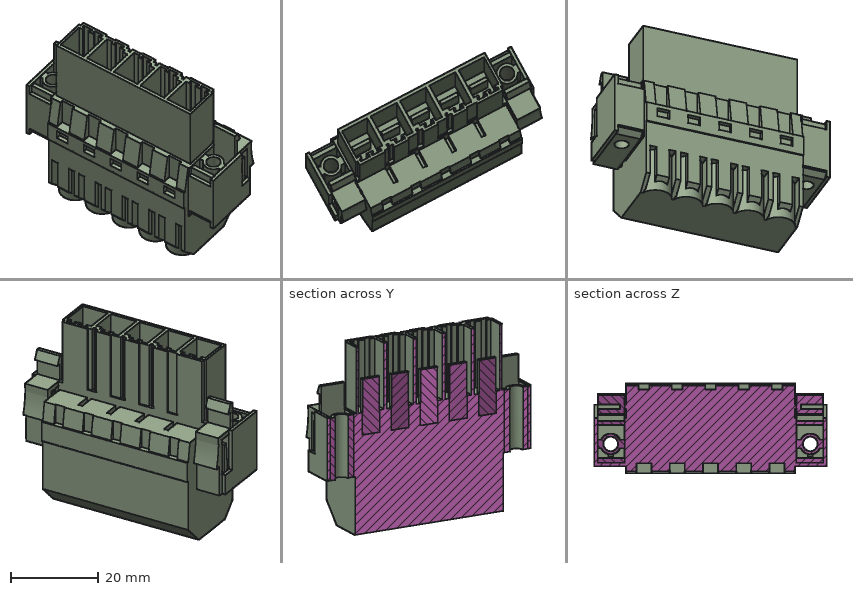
import cadquery as cq


POLE_COUNT = 5
PITCH = 7.65
POLE_X = [(i - (POLE_COUNT - 1) / 2) * PITCH for i in range(POLE_COUNT)]

TOTAL_HEIGHT = 45.0
BODY_TOP = 29.2
BACK_TOP = 27.15
BAND_TOP = 22.4
BAND_BOTTOM = 17.4

BODY_HALF_WIDTH = 19.4
BAND_FRONT = -6.85
BAND_BACK = 13.75
FRONT_FACE = -6.5
BACK_FACE = 13.45
FRONT_TOP_EDGE = -5.25
BACK_TOP_EDGE = 12.65
TAPER_INSET = 0.1
FRONT_CHAMFER = 3.4
BACK_CHAMFER = 4.85

FRONT_POCKET_WIDTH = 3.4
FRONT_POCKET_WALL = -4.55
BACK_POCKET_WIDTH = 2.4
BACK_POCKET_WALL = 12.45
WINDOW_WIDTH = 3.05
WINDOW_BOTTOM = 19.2
WINDOW_TOP = 21.4
WINDOW_DEPTH = 1.05

SLIT_WIDTH = 1.05
SLIT_BACK = 9.9
SLIT_DEPTH = 3.2

FUNNEL_RADIUS = PITCH / 2
FUNNEL_FRONT = -5.6
FUNNEL_Y = FUNNEL_FRONT + FUNNEL_RADIUS
FUNNEL_SLOT_INNER = 1.55
FUNNEL_SLOT_OUTER = 3.2
FUNNEL_SLOT_TOP = 11.0

SHROUD_HALF_WIDTH = 19.1
SHROUD_FRONT = -3.9
SHROUD_BACK = 5.85
STRIP_BACK = 5.5
CORNER_NOTCH_WIDTH = 0.5
CORNER_NOTCH_FLOOR = 4.85
CAVITY_FLOOR = BODY_TOP
CAVITY_FRONT = -3.05
CAVITY_HALF_WIDTH = 3.35
END_CAVITY_HALF_WIDTH = 3.2
LIP_FRONT = 4.2
END_LIP_FRONT = 4.0
RELIEF_BACK = 4.8
RELIEF_EDGE = 1.75
STEP_FRONT = 3.45
STEP_EDGE = 2.0
GROOVE_FLOOR = 5.1
GROOVE_STEP = 2.85
GROOVE_DEEP_FLOOR = 4.5
GROOVE_END = 3.3

T_MOUTH_WIDTH = 1.35
T_HEAD_WIDTH = 2.35
T_HEAD_FRONT = 4.65
T_HEAD_BACK = 5.2
END_T_OFFSET = 1.5

CONTACT_WIDTH = 4.5
CONTACT_THICKNESS = 0.85
CONTACT_Y = 0.25
CONTACT_EMBED = 5.35
CONTACT_RISE = 8.0

FLANGE_OUTER = 26.65
CORE_OUTER = 25.8
CORE_INNER = 19.75
FLANGE_BOTTOM = 14.0
FLANGE_FRONT = FRONT_TOP_EDGE
FLOOR_Z = 19.0
PLATE_BACK = 8.9
WALL_FACE = -4.3
WALL_BACK = -3.3
WALL_TOP = 28.8
COVER_TOP = 26.85
COVER_BOTTOM = 15.65
CLIP_FACE = -5.05
CLIP_CHAMFER = 1.25
BRIDGE_BOTTOM = 28.0
TONGUE_FRONT = 4.2
TONGUE_BACK = 5.2
TONGUE_TOP = 35.5
HOOK_TIP = 6.25
HOOK_BOTTOM = 33.35
LEVER_TOP_EDGE = 10.6
LEVER_NECK = 10.5
LEVER_MIDDLE = (10.7, 24.75)
LEVER_TIP = (11.4, 21.4)
LEVER_BACK = 10.1
STOP_BACK = 7.95
STOP_TOP = 26.2
STOP_FOOT_FRONT = 6.5
STOP_HEAD_FRONT = 7.05
STOP_RIB_WIDTH = 1.05
BORE_X = 22.9
BORE_Y = -0.1
BORE_RADIUS = 1.65
TUBE_RADIUS = 2.4
TUBE_TOP = 29.05
CROSS_RIB_WIDTH = 2.05
KEY_WIDTH = 1.05
KEY_EDGE = -2.9
KEY_HEIGHT = 1.6
KEY_OVERLAP = 0.15
KEY_DROP = 0.25


def box(x0, x1, y0, y1, z0, z1):
    """Block between two opposite corners."""
    return cq.Workplane("XY").box(x1 - x0, y1 - y0, z1 - z0, centered=False).translate((x0, y0, z0))


def centred_box(x, width, y0, y1, z0, z1):
    """Block of the given width, centred on x."""
    return box(x - width / 2, x + width / 2, y0, y1, z0, z1)


def side_prism(points, x0, x1):
    """Prism along X over a closed outline of (Y, Z) points."""
    return cq.Workplane("YZ").polyline(points).close().extrude(x1 - x0).translate((x0, 0, 0))


def contact(x):
    return centred_box(
        x,
        CONTACT_WIDTH,
        CONTACT_Y - CONTACT_THICKNESS / 2,
        CONTACT_Y + CONTACT_THICKNESS / 2,
        CAVITY_FLOOR - CONTACT_EMBED,
        CAVITY_FLOOR + CONTACT_RISE,
    )


def housing_body():
    """Block with tapered upper faces, a raised band and chamfered bottom edges."""
    outline = [
        (FRONT_FACE + FRONT_CHAMFER, 0),
        (FRONT_FACE, FRONT_CHAMFER),
        (FRONT_FACE, BAND_BOTTOM),
        (BAND_FRONT, BAND_BOTTOM),
        (BAND_FRONT, BAND_TOP),
        (FRONT_FACE + TAPER_INSET, BAND_TOP),
        (FRONT_TOP_EDGE, BODY_TOP),
        (SHROUD_BACK, BODY_TOP),
        (SHROUD_BACK, BACK_TOP),
        (BACK_TOP_EDGE, BACK_TOP),
        (BACK_FACE - TAPER_INSET, BAND_TOP),
        (BAND_BACK, BAND_TOP),
        (BAND_BACK, BAND_BOTTOM),
        (BACK_FACE, BAND_BOTTOM),
        (BACK_FACE, BACK_CHAMFER),
        (BACK_FACE - BACK_CHAMFER, 0),
    ]
    return side_prism(outline, -BODY_HALF_WIDTH, BODY_HALF_WIDTH)


def latch_frame():
    """Frame on the +X side that holds a latch: pad, rail, outer plate and front cover."""
    pad = box(BODY_HALF_WIDTH, CORE_INNER, FLANGE_FRONT, SHROUD_BACK, FLANGE_BOTTOM, BODY_TOP)
    rail = box(BODY_HALF_WIDTH, CORE_INNER, STOP_BACK, PLATE_BACK, FLANGE_BOTTOM, BRIDGE_BOTTOM)
    plate = box(CORE_OUTER, FLANGE_OUTER, FLANGE_FRONT, SHROUD_BACK, FLOOR_Z, BODY_TOP)
    plate_foot = box(CORE_OUTER, FLANGE_OUTER, FLANGE_FRONT, PLATE_BACK, FLANGE_BOTTOM, FLOOR_Z)
    cover = box(CORE_INNER, CORE_OUTER, FLANGE_FRONT, WALL_FACE, COVER_BOTTOM, COVER_TOP)
    return pad.union(rail).union(cover).union(plate).union(plate_foot)


def pole_recesses(x):
    """Front and back pockets in the tapers, and the window in the front of the band."""
    front = centred_box(x, FRONT_POCKET_WIDTH, BAND_FRONT, FRONT_POCKET_WALL, BAND_TOP, BODY_TOP)
    back = centred_box(x, BACK_POCKET_WIDTH, BACK_POCKET_WALL, BAND_BACK, BAND_TOP, BACK_TOP)
    window = centred_box(
        x, WINDOW_WIDTH, BAND_FRONT, BAND_FRONT + WINDOW_DEPTH, WINDOW_BOTTOM, WINDOW_TOP
    )
    return front.union(back).union(window)


def slit(x):
    """Slit between two poles in the lower top face behind the shroud."""
    return centred_box(x, SLIT_WIDTH, SHROUD_BACK, SLIT_BACK, BACK_TOP - SLIT_DEPTH, BACK_TOP)


def funnel(x, height):
    return cq.Workplane("XY").center(x, FUNNEL_Y).circle(FUNNEL_RADIUS).extrude(height)


def funnel_slots(x):
    """Two upright slots in the front face that bare the sides of the funnel."""
    slots = centred_box(x, 2 * FUNNEL_SLOT_OUTER, FRONT_FACE, FUNNEL_Y, 0, FUNNEL_SLOT_TOP)
    post = centred_box(x, 2 * FUNNEL_SLOT_INNER, FRONT_FACE, FUNNEL_Y, 0, FUNNEL_SLOT_TOP)
    return slots.cut(post).cut(funnel(x, FUNNEL_SLOT_TOP))


def shroud_cut(x0, x1, y0, y1):
    """Block over the full height of the shroud."""
    return box(x0, x1, y0, y1, BODY_TOP, TOTAL_HEIGHT)


def t_slot(x):
    mouth = shroud_cut(x - T_MOUTH_WIDTH / 2, x + T_MOUTH_WIDTH / 2, CAVITY_FRONT, T_HEAD_FRONT)
    head = shroud_cut(x - T_HEAD_WIDTH / 2, x + T_HEAD_WIDTH / 2, T_HEAD_FRONT, T_HEAD_BACK)
    return mouth.union(head)


def end_cavity():
    """Cavity of the pole at the -X end, centred on X = 0, with two T-slots."""
    lip_edge = -END_T_OFFSET - T_MOUTH_WIDTH / 2
    cavity = shroud_cut(-END_CAVITY_HALF_WIDTH, CAVITY_HALF_WIDTH, CAVITY_FRONT, END_LIP_FRONT)
    cavity = cavity.union(shroud_cut(lip_edge, CAVITY_HALF_WIDTH, CAVITY_FRONT, LIP_FRONT))
    for x in (-END_T_OFFSET, END_T_OFFSET):
        cavity = cavity.union(t_slot(x))
    return cavity


def middle_cavity():
    """Cavity of an inner pole, centred on X = 0, with one T-slot and a stepped back wall."""
    cavity = shroud_cut(-CAVITY_HALF_WIDTH, CAVITY_HALF_WIDTH, CAVITY_FRONT, STEP_FRONT)
    cavity = cavity.union(shroud_cut(-CAVITY_HALF_WIDTH, STEP_EDGE, CAVITY_FRONT, LIP_FRONT))
    cavity = cavity.union(shroud_cut(-CAVITY_HALF_WIDTH, -RELIEF_EDGE, CAVITY_FRONT, RELIEF_BACK))
    return cavity.union(t_slot(0))


def key_groove(x):
    """Stepped groove in the outside of the back wall, beside an inner pole."""
    shallow = shroud_cut(x + STEP_EDGE, x + GROOVE_END, GROOVE_FLOOR, SHROUD_BACK)
    deep = shroud_cut(x + GROOVE_STEP, x + GROOVE_END, GROOVE_DEEP_FLOOR, SHROUD_BACK)
    return shallow.union(deep)


def shroud():
    body = shroud_cut(-SHROUD_HALF_WIDTH, SHROUD_HALF_WIDTH, SHROUD_FRONT, SHROUD_BACK)
    first_x, *inner_x, last_x = POLE_X
    body = body.cut(end_cavity().translate((first_x, 0, 0)))
    body = body.cut(end_cavity().mirror("YZ").translate((last_x, 0, 0)))
    for x in inner_x:
        body = body.cut(middle_cavity().translate((x, 0, 0)))
        body = body.cut(key_groove(x))
    for x, next_x in zip(POLE_X, POLE_X[1:]):
        reach = GROOVE_END if next_x == last_x else RELIEF_EDGE
        body = body.cut(shroud_cut(x + GROOVE_END, next_x - reach, STRIP_BACK, SHROUD_BACK))
    notch_edge = SHROUD_HALF_WIDTH - CORNER_NOTCH_WIDTH
    corner = shroud_cut(notch_edge, SHROUD_HALF_WIDTH, CORNER_NOTCH_FLOOR, SHROUD_BACK)
    return body.cut(corner).cut(corner.mirror("YZ"))


def make_housing():
    body = housing_body()
    for x in POLE_X:
        body = body.cut(pole_recesses(x)).cut(funnel_slots(x))
    for x in POLE_X[:-1]:
        body = body.cut(slit(x + PITCH / 2))
    for x in POLE_X:
        body = body.union(funnel(x, FRONT_CHAMFER))
    body = body.union(latch_frame()).union(latch_frame().mirror("YZ")).union(shroud())
    for x in POLE_X:
        body = body.cut(contact(x))
    return body


def latch_profile():
    """Clip under the front cover, front wall, base, hooked tongue, bridge and curved lever."""
    outline = (
        cq.Workplane("YZ")
        .moveTo(CLIP_FACE + CLIP_CHAMFER, FLANGE_BOTTOM)
        .lineTo(CLIP_FACE, FLANGE_BOTTOM + CLIP_CHAMFER)
        .lineTo(CLIP_FACE, COVER_BOTTOM)
        .lineTo(WALL_FACE, COVER_BOTTOM)
        .lineTo(WALL_FACE, WALL_TOP)
        .lineTo(WALL_BACK, WALL_TOP)
        .lineTo(WALL_BACK, FLOOR_Z)
        .lineTo(TONGUE_FRONT, FLOOR_Z)
        .lineTo(TONGUE_FRONT, TONGUE_TOP)
        .lineTo(TONGUE_BACK, TONGUE_TOP)
        .lineTo(HOOK_TIP, HOOK_BOTTOM)
        .lineTo(TONGUE_BACK, HOOK_BOTTOM)
        .lineTo(TONGUE_BACK, BODY_TOP)
        .lineTo(LEVER_TOP_EDGE, BODY_TOP)
        .lineTo(LEVER_NECK, BACK_TOP)
        .threePointArc(LEVER_MIDDLE, LEVER_TIP)
        .lineTo(LEVER_BACK, LEVER_TIP[1])
        .lineTo(LEVER_BACK, FLANGE_BOTTOM)
        .close()
    )
    body = outline.extrude(CORE_OUTER - CORE_INNER).translate((CORE_INNER, 0, 0))
    return body.cut(box(CORE_INNER, CORE_OUTER, TONGUE_BACK, PLATE_BACK, FLOOR_Z, BRIDGE_BOTTOM))


def lever_stop():
    """Sloped stop under the bridge, with a taller rib at its inner end."""
    outline = [
        (STOP_BACK, FLOOR_Z),
        (STOP_FOOT_FRONT, FLOOR_Z),
        (STOP_HEAD_FRONT, STOP_TOP),
        (STOP_BACK, STOP_TOP),
    ]
    stop = side_prism(outline, CORE_INNER, CORE_OUTER)
    rib = box(
        CORE_INNER, CORE_INNER + STOP_RIB_WIDTH, STOP_HEAD_FRONT, PLATE_BACK, FLOOR_Z, BRIDGE_BOTTOM
    )
    return stop.union(rib)


def screw_tube():
    """Tube for the screw, tied to both sides of the latch by a cross rib."""
    tube = cq.Workplane("XY").workplane(offset=FLOOR_Z).center(BORE_X, BORE_Y).circle(TUBE_RADIUS)
    tube = tube.extrude(TUBE_TOP - FLOOR_Z)
    half_rib = CROSS_RIB_WIDTH / 2
    cross_rib = box(CORE_INNER, CORE_OUTER, BORE_Y - half_rib, BORE_Y + half_rib, FLOOR_Z, TUBE_TOP)
    return tube.union(cross_rib)


def tube_key():
    """Low key on the floor between the tube and the front wall, sloping down to the wall."""
    key_top = FLOOR_Z + KEY_HEIGHT
    outline = [
        (BORE_Y - TUBE_RADIUS + KEY_OVERLAP, FLOOR_Z),
        (BORE_Y - TUBE_RADIUS + KEY_OVERLAP, key_top),
        (KEY_EDGE, key_top),
        (WALL_BACK, key_top - KEY_DROP),
        (WALL_BACK, FLOOR_Z),
    ]
    return side_prism(outline, BORE_X - KEY_WIDTH / 2, BORE_X + KEY_WIDTH / 2)


def make_latch():
    """Latch at the +X end, with a through bore for the screw."""
    body = latch_profile().union(lever_stop()).union(screw_tube()).union(tube_key())
    bore = cq.Workplane("XY").center(BORE_X, BORE_Y).circle(BORE_RADIUS).extrude(BODY_TOP)
    return body.cut(bore)


housing = make_housing()
contacts = [contact(x) for x in POLE_X]
right_latch = make_latch()
latches = [right_latch, right_latch.mirror("YZ")]

result = cq.Compound.makeCompound(
    [
        housing.val(),
        *[blade.val() for blade in contacts],
        *[latch.val() for latch in latches],
    ]
)